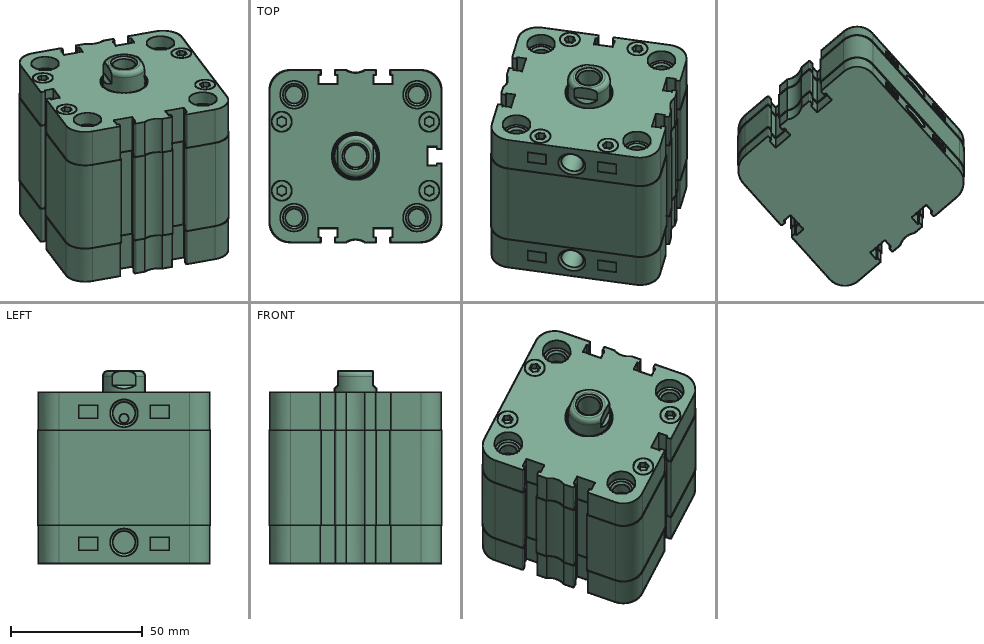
import cadquery as cq
import math

TOTAL_HEIGHT = 73.0
BODY_WIDTH = 65.5
BODY_HEIGHT = 65.0
CAP_HEIGHT = 14.45
CORNER_RADIUS = 7.95
CAP_INSET = 0.2

SLOT_OFFSET = 10.45
SLOT_MOUTH = 5.25
SLOT_MOUTH_ROUND = 0.3
SLOT_POCKET = 6.9
SLOT_LIP = 1.8
SLOT_DEPTH = 5.3
GROOVE_WIDTH = 7.1
GROOVE_DEPTH = 1.0

MOUNT_OFFSET = 23.3
MOUNT_COUNTERBORE = 10.5
MOUNT_COUNTERBORE_DEPTH = 5.0
MOUNT_HOLE = 6.65
MOUNT_HOLE_DEPTH = 10.95
MOUNT_COUNTERSINK = 8.4

SCREW_X = 27.95
SCREW_Y = 13.1
SCREW_HEAD = 7.5
SCREW_RECESS = 7.7
SCREW_GAP_DEPTH = 0.7
SOCKET_FLATS = 3.5
SOCKET_DEPTH = 2.9

PORT_HOLE = 8.55
PORT_COUNTERSINK = 10.5
PORT_DEPTH = 10.0
PORT_INSET = 8.0
PASSAGE_HOLE = 3.5
PASSAGE_DROP = 2.0
PASSAGE_DEPTH = 14.6

LABEL_WIDTH = 7.1
LABEL_HEIGHT = 4.9
LABEL_OFFSET = 13.6
LABEL_DEPTH = 0.15
LABEL_INSET = 7.45

ROD_DIAMETER = 16.0
ROD_FILLET = 2.0
ROD_HOLE = 8.55
ROD_HOLE_DEPTH = 14.6
ROD_COUNTERSINK = 10.0
ROD_FLATS = 13.3
ROD_FLAT_LENGTH = 5.4
WIPER_RECESS = 17.7
WIPER_CHAMFER_DIAMETER = 18.0
WIPER_RECESS_DEPTH = 0.7
WIPER_GAP = 16.6
WIPER_GAP_DEPTH = 1.45

UPPER_SEAM = BODY_HEIGHT - CAP_HEIGHT
CAP_SIDE_X = -BODY_WIDTH / 2 + CAP_INSET


def extrusion(inset, bottom, height):
    """Slotted square bar; every face of the section is moved inward by the inset."""
    width = BODY_WIDTH - 2 * inset
    bar = cq.Workplane("XY").workplane(offset=bottom).rect(width, width).extrude(height)
    bar = bar.edges("|Z").fillet(CORNER_RADIUS - inset)

    def slot(turn, shift):
        surface = BODY_WIDTH / 2 - inset
        floor = surface - SLOT_DEPTH
        lip = surface - SLOT_LIP
        mouth = SLOT_MOUTH / 2 + inset
        pocket = SLOT_POCKET / 2 + inset
        start = surface - SLOT_MOUTH_ROUND
        flare = mouth + SLOT_MOUTH_ROUND
        bend = SLOT_MOUTH_ROUND * (1 - math.sqrt(0.5))
        sketch = cq.Workplane("XY").workplane(offset=bottom).center(shift, 0)
        outline = (
            sketch.moveTo(-flare, surface)
            .threePointArc((-mouth - bend, surface - bend), (-mouth, start))
            .lineTo(-mouth, lip)
            .lineTo(-pocket, lip)
            .lineTo(-pocket, floor)
            .lineTo(pocket, floor)
            .lineTo(pocket, lip)
            .lineTo(mouth, lip)
            .lineTo(mouth, start)
            .threePointArc((mouth + bend, surface - bend), (flare, surface))
            .close()
        )
        cutter = outline.extrude(height)
        return cutter.rotate((0, 0, 0), (0, 0, 1), turn)

    def finger_groove(turn):
        half = GROOVE_WIDTH / 2
        radius = (half**2 + GROOVE_DEPTH**2) / (2 * GROOVE_DEPTH)
        axis_y = width / 2 - GROOVE_DEPTH + radius
        cutter = cq.Workplane("XY").workplane(offset=bottom).center(0, axis_y).circle(radius).extrude(height)
        return cutter.rotate((0, 0, 0), (0, 0, 1), turn)

    for turn in (0, 180):
        for shift in (-SLOT_OFFSET, SLOT_OFFSET):
            bar = bar.cut(slot(turn, shift))
        bar = bar.cut(finger_groove(turn))
    return bar.cut(slot(-90, 0))


def countersunk_hole(diameter, countersink, depth):
    """Cutter along -Z from the origin with a 45 degree countersink at its mouth."""
    sink = (countersink - diameter) / 2
    profile = [(0, 0), (countersink / 2, 0), (diameter / 2, -sink), (diameter / 2, -depth), (0, -depth)]
    return cq.Workplane("XZ").polyline(profile).close().revolve(360, (0, 0, 0), (0, 1, 0))


def side_port(z):
    cutter = countersunk_hole(PORT_HOLE, PORT_COUNTERSINK, PORT_DEPTH)
    return cutter.rotate((0, 0, 0), (0, 1, 0), -90).translate((CAP_SIDE_X, 0, z))


def label_panels(z):
    plane = cq.Workplane("YZ").workplane(offset=CAP_SIDE_X)
    centres = [(-LABEL_OFFSET, z), (LABEL_OFFSET, z)]
    return plane.pushPoints(centres).rect(LABEL_WIDTH, LABEL_HEIGHT).extrude(LABEL_DEPTH)


def build_rear_cap():
    cap = extrusion(CAP_INSET, 0, CAP_HEIGHT)
    return cap.cut(side_port(PORT_INSET)).cut(label_panels(LABEL_INSET))


def build_barrel():
    return extrusion(0, CAP_HEIGHT, UPPER_SEAM - CAP_HEIGHT)


def mounting_hole(x, y):
    top = cq.Workplane("XY").workplane(offset=BODY_HEIGHT).center(x, y)
    counterbore = top.circle(MOUNT_COUNTERBORE / 2).extrude(-MOUNT_COUNTERBORE_DEPTH)
    hole = countersunk_hole(MOUNT_HOLE, MOUNT_COUNTERSINK, MOUNT_HOLE_DEPTH - MOUNT_COUNTERBORE_DEPTH)
    return counterbore.union(hole.translate((x, y, BODY_HEIGHT - MOUNT_COUNTERBORE_DEPTH)))


def screw_head(x, y):
    """Narrow ring around the head plus its hexagon socket, corners toward +Y and -Y."""
    top = cq.Workplane("XY").workplane(offset=BODY_HEIGHT).center(x, y)
    ring = top.circle(SCREW_RECESS / 2).circle(SCREW_HEAD / 2).extrude(-SCREW_GAP_DEPTH)
    corners = SOCKET_FLATS / math.cos(math.pi / 6)
    socket = top.transformed(rotate=(0, 0, 90)).polygon(6, corners).extrude(-SOCKET_DEPTH)
    return ring.union(socket)


def rod_passage():
    top = cq.Workplane("XY").workplane(offset=BODY_HEIGHT)
    bore = top.circle(ROD_DIAMETER / 2).extrude(-CAP_HEIGHT)
    gap = top.circle(WIPER_GAP / 2).extrude(-WIPER_GAP_DEPTH)
    recess = countersunk_hole(WIPER_RECESS, WIPER_CHAMFER_DIAMETER, WIPER_RECESS_DEPTH)
    return bore.union(gap).union(recess.translate((0, 0, BODY_HEIGHT)))


def build_front_cap():
    cap = extrusion(CAP_INSET, UPPER_SEAM, CAP_HEIGHT)
    for side_x in (-1, 1):
        for side_y in (-1, 1):
            cap = cap.cut(mounting_hole(side_x * MOUNT_OFFSET, side_y * MOUNT_OFFSET))
            cap = cap.cut(screw_head(side_x * SCREW_X, side_y * SCREW_Y))
    port_z = BODY_HEIGHT - PORT_INSET
    cap = cap.cut(side_port(port_z)).cut(label_panels(BODY_HEIGHT - LABEL_INSET))
    passage = cq.Workplane("YZ").workplane(offset=CAP_SIDE_X).center(0, port_z - PASSAGE_DROP)
    cap = cap.cut(passage.circle(PASSAGE_HOLE / 2).extrude(PASSAGE_DEPTH))
    return cap.cut(rod_passage())


def build_rod():
    length = TOTAL_HEIGHT - UPPER_SEAM
    rod = cq.Workplane("XY").workplane(offset=UPPER_SEAM).circle(ROD_DIAMETER / 2).extrude(length)
    rod = rod.faces(">Z").edges().fillet(ROD_FILLET)

    inner = ROD_FLATS / 2
    outer = ROD_DIAMETER / 2
    flat_end = TOTAL_HEIGHT - ROD_FLAT_LENGTH
    side = [(inner, TOTAL_HEIGHT), (outer, TOTAL_HEIGHT), (outer, flat_end - (outer - inner)), (inner, flat_end)]
    flat = cq.Workplane("XZ").polyline(side).close().extrude(ROD_DIAMETER / 2, both=True)
    rod = rod.cut(flat).cut(flat.mirror("YZ"))

    hole = countersunk_hole(ROD_HOLE, ROD_COUNTERSINK, ROD_HOLE_DEPTH)
    return rod.cut(hole.translate((0, 0, TOTAL_HEIGHT)))


rear_cap = build_rear_cap()
barrel = build_barrel()
front_cap = build_front_cap()
rod = build_rod()

result = cq.Compound.makeCompound([rear_cap.val(), barrel.val(), front_cap.val(), rod.val()])